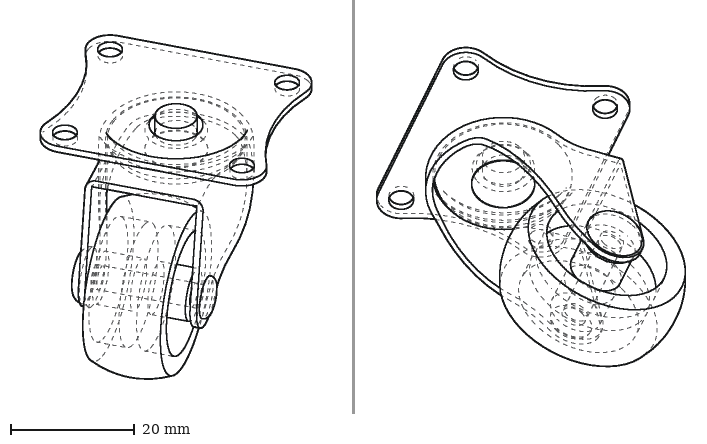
import cadquery as cq
import math


sheet = 1.2
hole_x = 30.0 / 2
hole_y = 24.0 / 2
hole_diameter = 4.0
corner_radius = 4.0
waist_half_width = 16.38

dish_radius = 15.35
trough_outer_radius = 11.9
trough_inner_radius = 8.25
dish_hole_radius = 4.35
dish_hole_z = -3.5
dish_wall_angle = 67

fork_top = -5.0
fork_wall = 1.1
fork_radius = 12.53
leg_half_width = 10.0
fork_edge_radius = 1.8
fork_front_y = -16.65
skirt_bottom = -9.97
skirt_fillet = 3.7
skirt_corner_y = 7.9
leg_end_radius = 5.1

pin_diameter = 6.8
pin_top = -1.7
boss_bottom = -8.15
boss_radius = 11.15
cap_diameter = 10.2
cap_height = 0.2

axle_y = -15.4
axle_z = -25.0
axle_diameter = 4.0
large_head_diameter = 9.4
large_head_height = 1.7
small_head_diameter = 7.1
small_head_height = 0.97

wheel_radius = 30.0 / 2
wheel_edge_radius = 13.55
wheel_half_width = 6.6
recess_diameter = 20.7
recess_depth = 5.1
hub_diameter = 8.7
hub_half_length = 7.9


def arc_point(center, radius, angle):
    """Point on an arc in the radius-height plane; the angle is measured from straight up."""
    turn = math.radians(angle)
    return (center[0] + radius * math.sin(turn), center[1] + radius * math.cos(turn))


def plate_blank():
    """Plate with round corners and concave, tangent left and right sides."""
    corner_offset = waist_half_width - corner_radius
    waist_center = (hole_x**2 + hole_y**2 - corner_offset**2) / (2 * (hole_x - corner_offset))
    waist_radius = waist_center - waist_half_width
    share = corner_radius / (waist_radius + corner_radius)
    touch_x = hole_x + share * (waist_center - hole_x)
    touch_y = hole_y * (1 - share)
    half_y = hole_y + corner_radius
    touch_angle = math.atan2(touch_y - hole_y, touch_x - hole_x)
    middle_angle = (math.pi / 2 + touch_angle) / 2
    bend_x = hole_x + corner_radius * math.cos(middle_angle)
    bend_y = hole_y + corner_radius * math.sin(middle_angle)
    return (
        cq.Workplane("XY")
        .moveTo(-hole_x, half_y)
        .lineTo(hole_x, half_y)
        .threePointArc((bend_x, bend_y), (touch_x, touch_y))
        .threePointArc((waist_half_width, 0), (touch_x, -touch_y))
        .threePointArc((bend_x, -bend_y), (hole_x, -half_y))
        .lineTo(-hole_x, -half_y)
        .threePointArc((-bend_x, -bend_y), (-touch_x, -touch_y))
        .threePointArc((-waist_half_width, 0), (-touch_x, touch_y))
        .threePointArc((-bend_x, bend_y), (-hole_x, half_y))
        .close()
        .extrude(-sheet)
    )


def dish():
    """Revolved dish of constant sheet thickness."""
    trough_bottom = fork_top + sheet
    wall = dish_wall_angle
    edge_radius = (dish_radius - trough_outer_radius) / math.sin(math.radians(wall))
    edge = (dish_radius, -edge_radius)
    wall_top = arc_point(edge, edge_radius, -wall)

    trough_radius = (wall_top[1] - trough_bottom) / (1 - math.cos(math.radians(wall)))
    trough_r = trough_outer_radius - trough_radius * math.sin(math.radians(wall))
    trough = (trough_r, trough_bottom + trough_radius)
    slope = math.degrees(math.asin((trough_r - trough_inner_radius) / trough_radius))
    trough_end = arc_point(trough, trough_radius, 180 + slope)

    hump_run = trough_inner_radius - dish_hole_radius
    hump_drop = trough_end[1] - dish_hole_z
    hump_tilt = math.degrees(math.atan2(hump_drop, hump_run))
    half_turn = slope + hump_tilt
    hump_radius = math.hypot(hump_run, hump_drop) / 2 / math.sin(math.radians(half_turn))
    hump = arc_point(trough, trough_radius + hump_radius, 180 + slope)
    hole_angle = slope - 2 * half_turn

    edge_below = edge_radius - sheet
    trough_below = trough_radius + sheet
    hump_below = hump_radius - sheet
    return (
        cq.Workplane("XZ")
        .moveTo(dish_radius, 0)
        .threePointArc(arc_point(edge, edge_radius, -wall / 2), wall_top)
        .threePointArc(arc_point(trough, trough_radius, 180), trough_end)
        .threePointArc(arc_point(hump, hump_radius, 0), (dish_hole_radius, dish_hole_z))
        .lineTo(*arc_point(hump, hump_below, hole_angle))
        .threePointArc(arc_point(hump, hump_below, 0), arc_point(hump, hump_below, slope))
        .threePointArc(arc_point(trough, trough_below, 180), arc_point(trough, trough_below, 180 - wall))
        .threePointArc(arc_point(edge, edge_below, -wall / 2), arc_point(edge, edge_below, 0))
        .close()
        .revolve(360, (0, 0, 0), (0, 1, 0))
    )


def make_plate():
    plate = plate_blank().cut(cq.Workplane("XY").circle(dish_radius).extrude(-sheet))
    plate = plate.union(dish())
    holes = (
        cq.Workplane("XY")
        .rect(2 * hole_x, 2 * hole_y, forConstruction=True)
        .vertices()
        .circle(hole_diameter / 2)
        .extrude(-sheet)
    )
    return plate.cut(holes)


def fork_block(inset, top):
    """Round-backed block, blended by concave arcs into flat legs; inset gives the inner faces."""
    back_radius = fork_radius - inset
    leg_x = leg_half_width - inset
    blend_radius = fork_radius + inset
    blend_x = leg_x + blend_radius
    blend_y = -math.sqrt((back_radius + blend_radius) ** 2 - blend_x**2)
    share = back_radius / (back_radius + blend_radius)
    touch = (blend_x * share, blend_y * share)
    middle_angle = math.atan2(-blend_y, blend_x) / 2
    bend_x = blend_x - blend_radius * math.cos(middle_angle)
    bend_y = blend_y + blend_radius * math.sin(middle_angle)
    front_y = axle_y - 2 * leg_end_radius
    bottom = axle_z - 2 * leg_end_radius
    return (
        cq.Workplane("XY")
        .workplane(offset=bottom)
        .moveTo(leg_x, front_y)
        .lineTo(leg_x, blend_y)
        .threePointArc((bend_x, bend_y), touch)
        .threePointArc((0, back_radius), (-touch[0], touch[1]))
        .threePointArc((-bend_x, bend_y), (-leg_x, blend_y))
        .lineTo(-leg_x, front_y)
        .close()
        .extrude(top - bottom)
    )


def leg_tangent_point(y, z, side):
    """Point where a line from (y, z) touches the rounded leg end, on the chosen side."""
    distance = math.hypot(y - axle_y, z - axle_z)
    angle = math.atan2(z - axle_z, y - axle_y) + side * math.acos(leg_end_radius / distance)
    return (axle_y + leg_end_radius * math.cos(angle), axle_z + leg_end_radius * math.sin(angle))


def fork_side_profile():
    """Side outline of the fork, extruded across its whole width."""
    front_touch = leg_tangent_point(fork_front_y, fork_top, 1)
    rear_touch = leg_tangent_point(skirt_corner_y, skirt_bottom, -1)
    leg_bottom = (axle_y, axle_z - leg_end_radius)
    profile = (
        cq.Workplane("YZ")
        .moveTo(fork_front_y, fork_top)
        .lineTo(*front_touch)
        .threePointArc(leg_bottom, rear_touch)
        .lineTo(skirt_corner_y, skirt_bottom)
        .lineTo(fork_radius, skirt_bottom)
        .lineTo(fork_radius, fork_top)
        .close()
        .extrude(fork_radius, both=True)
    )
    skirt_corner = cq.selectors.NearestToPointSelector((0, skirt_corner_y, skirt_bottom))
    return profile.edges("|X").edges(skirt_corner).fillet(skirt_fillet)


def disc(diameter, bottom, top):
    """Upright cylinder on the swivel axis."""
    return cq.Workplane("XY").workplane(offset=bottom).circle(diameter / 2).extrude(top - bottom)


def swivel_pin():
    """Pin through the dish, with a capped, fully rounded boss under the fork roof."""
    roof_bottom = fork_top - fork_wall
    edge_radius = roof_bottom - boss_bottom
    flat_radius = boss_radius - edge_radius
    bend = arc_point((flat_radius, roof_bottom), edge_radius, 135)
    boss = (
        cq.Workplane("XZ")
        .moveTo(0, roof_bottom)
        .lineTo(0, boss_bottom)
        .lineTo(flat_radius, boss_bottom)
        .threePointArc(bend, (boss_radius, roof_bottom))
        .close()
        .revolve(360, (0, 0, 0), (0, 1, 0))
    )
    pin = disc(pin_diameter, roof_bottom, pin_top)
    cap = disc(cap_diameter, boss_bottom - cap_height, roof_bottom)
    return boss.union(cap).union(pin)


def rivet_head(diameter, height, direction):
    """Head with a fully rounded rim on the outer face of one leg."""
    flat_radius = diameter / 2 - height
    bend = arc_point((flat_radius, 0), height, 45)
    head = (
        cq.Workplane("XZ")
        .lineTo(diameter / 2, 0)
        .threePointArc(bend, (flat_radius, height))
        .lineTo(0, height)
        .close()
        .revolve(360, (0, 0, 0), (0, 1, 0))
    )
    head = head.rotate((0, 0, 0), (0, 1, 0), direction * 90)
    return head.translate((direction * leg_half_width, axle_y, axle_z))


def axle_cylinder(diameter, half_length):
    """Cylinder on the wheel axis, centred between the legs."""
    return (
        cq.Workplane("YZ")
        .center(axle_y, axle_z)
        .circle(diameter / 2)
        .extrude(half_length, both=True)
    )


def axle():
    """Axle with a rivet head on the outside of each leg."""
    large_head = rivet_head(large_head_diameter, large_head_height, -1)
    small_head = rivet_head(small_head_diameter, small_head_height, 1)
    return axle_cylinder(axle_diameter, leg_half_width).union(large_head).union(small_head)


def make_fork():
    """Fork with its riveted swivel pin and axle."""
    fork = fork_block(0, fork_top).faces(">Z").edges("not <Y").fillet(fork_edge_radius)
    fork = fork.cut(fork_block(fork_wall, fork_top - fork_wall))
    fork = fork.intersect(fork_side_profile())
    fork = fork.union(swivel_pin())
    return fork.union(axle())


def make_wheel():
    """Crowned wheel with a recess in each face and a projecting hub."""
    wheel = (
        cq.Workplane("XY")
        .moveTo(-wheel_half_width, 0)
        .lineTo(-wheel_half_width, wheel_edge_radius)
        .threePointArc((0, wheel_radius), (wheel_half_width, wheel_edge_radius))
        .lineTo(wheel_half_width, 0)
        .close()
        .revolve(360, (0, 0, 0), (1, 0, 0))
        .translate((0, axle_y, axle_z))
    )
    web_half_width = wheel_half_width - recess_depth
    recesses = axle_cylinder(recess_diameter, wheel_half_width).cut(
        axle_cylinder(recess_diameter, web_half_width)
    )
    wheel = wheel.cut(recesses)
    wheel = wheel.union(axle_cylinder(hub_diameter, hub_half_length))
    return wheel.cut(axle_cylinder(axle_diameter, hub_half_length))


plate = make_plate()
fork = make_fork()
wheel = make_wheel()

result = cq.Compound.makeCompound([plate.val(), fork.val(), wheel.val()])